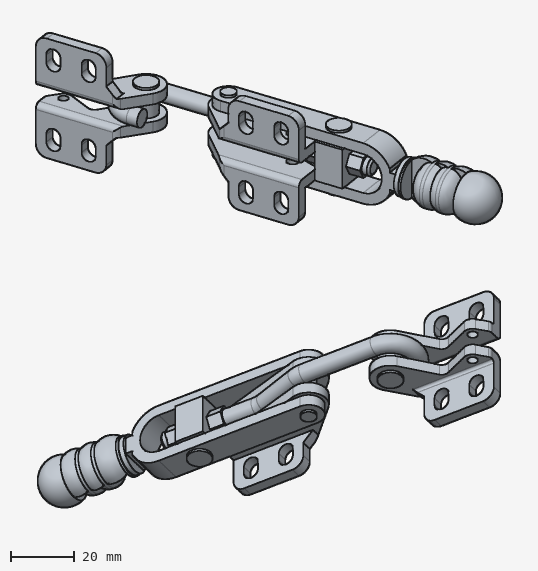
import cadquery as cq
import math


overall_x = 160.98
overall_y = 25.5
overall_z = 43.02

rod_d = 6.2
plate_t = 3.9
web_inner = rod_d / 2
web_outer = web_inner + plate_t
arm_outer = web_outer + plate_t
pin_stickout = 0.87

bend_outer_r = 2.0
flange_corner_r = 4.0
flange_notch = 3.6
foot_r = 3.0
slot_pitch = 13.0
slot_w = 5.2
slot_len = 7.9
flange_len = 26.0

catch_half_width = overall_z / 2
catch_inner_bend_r = 1.0
catch_slot_z = 14.3
catch_pivot = (32.4, 13.5)
catch_boss_r = 6.6
catch_pin_d = 8.3
catch_foot_x = 29.65
catch_back_y = 5.8
catch_back_r = 2.0
ear_center = (5.6, 7.5)
ear_r = 3.1
ear_hole_d = 3.3
catch_valley = (17.24, 5.4)
catch_valley_r = 2.5

base_half_width = 19.6
base_slot_z = 12.5
base_start_x = 71.0
base_end_x = base_start_x + flange_len
base_pivot = (61.5, 15.65)
base_boss_r = 6.4
pivot_pin_d = 5.25
base_foot_x = 68.1
base_web_end_y = 11.0
base_hole = (88.3, 10.55)
base_hole_d = 4.2

axis_y = base_pivot[1]
lever_h = 10.2
lever_bend_x = 114.1
fork_end_x = 124.0
neck_end_x = 126.4
collar_r = 6.5
collar_end_x = 128.2
lip_r = 6.8
grip_start_x = 129.1
grip_r = 8.45
groove_r = 7.8
groove_w = 1.2
groove_pitch = 5.9
first_groove_x = 137.1
groove_xs = (first_groove_x, first_groove_x + groove_pitch)
dome_start_x = 149.0
pad_half_len = 5.7
shoulder_x = 132.5
lever_plane = cq.Workplane("XZ", origin=(0, axis_y, 0))

rod_high_y = overall_y - rod_d / 2
hook_r = rod_high_y - catch_pivot[1]
hook_tail = 4.0
rod_slope = math.radians(20)
upper_elbow_x = 60.8
elbow_r = 10.0
block_len = 10.3
block_h = 12.4
block_start_x = base_end_x
trunnion_center = (block_start_x + block_len / 2, axis_y)
trunnion_d = 8.2
nut_af = 7.2
nut_len = 5.2
rod_end_x = 115.1
rod_end_chamfer = 0.8


def tangent_point(point, center, radius, side):
    """Touching point on a circle of the tangent from `point`; side +1 is counterclockwise."""
    dx = point[0] - center[0]
    dy = point[1] - center[1]
    angle = math.atan2(dy, dx) + side * math.acos(radius / math.hypot(dx, dy))
    return on_circle(center, radius, angle)


def on_circle(center, radius, angle):
    return (center[0] + radius * math.cos(angle), center[1] + radius * math.sin(angle))


def cylinder_z(center, diameter, half_len):
    return cq.Workplane("XY").center(*center).circle(diameter / 2).extrude(half_len, both=True)


def hex_nut(start_x):
    """Hexagonal nut on the lever axis, along X, with two corners pointing along Y."""
    across_corners = nut_af / math.cos(math.pi / 6)
    plane = cq.Workplane("YZ", origin=(start_x, axis_y, 0))
    return plane.polygon(6, across_corners).extrude(nut_len)


def angle_section(half_width, height, x_start, x_end):
    """Untrimmed L-shaped bent strip on the +Z side, running along X from x_start to x_end."""
    strip = (
        cq.Workplane("YZ", origin=(x_start, 0, 0))
        .moveTo(0, web_inner)
        .lineTo(height, web_inner)
        .lineTo(height, web_outer)
        .lineTo(plate_t, web_outer)
        .lineTo(plate_t, half_width)
        .lineTo(0, half_width)
        .close()
        .extrude(x_end - x_start)
    )
    middle_x = (x_start + x_end) / 2
    return strip.edges(cq.NearestToPointSelector((middle_x, 0, web_inner))).fillet(bend_outer_r)


def flange_outline(x_end, x_start, half_width, web_tip_x):
    """Trimming block along Y: a round-cornered flange from x_start to x_end and a web on to web_tip_x.

    A slanted edge joins the flange's x_end side to the web.
    """
    toward_tip = math.copysign(flange_notch, web_tip_x - x_end)
    block = (
        cq.Workplane("XZ")
        .moveTo(x_start, 0)
        .lineTo(x_start, half_width)
        .lineTo(x_end, half_width)
        .lineTo(x_end, web_outer + flange_notch)
        .lineTo(x_end + toward_tip, web_outer)
        .lineTo(web_tip_x, web_outer)
        .lineTo(web_tip_x, 0)
        .close()
        .extrude(-overall_y)
    )
    for x in (x_start, x_end):
        corner = cq.NearestToPointSelector((x, overall_y / 2, half_width))
        block = block.edges(corner).fillet(flange_corner_r)
    return block


def flange_slots(middle_x, z):
    return (
        cq.Workplane("XZ")
        .pushPoints([(middle_x - slot_pitch / 2, z), (middle_x + slot_pitch / 2, z)])
        .slot2D(slot_len, slot_w, 90)
        .extrude(-plate_t)
    )


def both_sides(half):
    return half.union(half.mirror("XY"))


def make_catch():
    foot = (catch_foot_x, 0)
    back = (0, catch_back_y)
    outline = (
        cq.Workplane("XY")
        .moveTo(0, 0)
        .lineTo(*foot)
        .lineTo(*tangent_point(foot, catch_pivot, catch_boss_r, 1))
        .threePointArc(
            on_circle(catch_pivot, catch_boss_r, math.pi / 4),
            tangent_point(catch_valley, catch_pivot, catch_boss_r, -1),
        )
        .lineTo(*catch_valley)
        .lineTo(*tangent_point(catch_valley, ear_center, ear_r, 1))
        .threePointArc(
            on_circle(ear_center, ear_r, math.pi / 2),
            tangent_point(back, ear_center, ear_r, -1),
        )
        .lineTo(*back)
        .close()
        .extrude(catch_half_width)
    )
    middle_z = catch_half_width / 2
    for corner, radius in ((foot, foot_r), (catch_valley, catch_valley_r), (back, catch_back_r)):
        outline = outline.edges(cq.NearestToPointSelector((*corner, middle_z))).fillet(radius)

    tip_x = catch_pivot[0] + catch_boss_r
    half = angle_section(catch_half_width, overall_y, 0, tip_x)
    inner_bend = cq.NearestToPointSelector((tip_x / 2, plate_t, web_outer))
    half = half.edges(inner_bend).fillet(catch_inner_bend_r)
    half = half.intersect(outline)
    half = half.intersect(flange_outline(flange_len, 0, catch_half_width, tip_x))
    half = half.cut(flange_slots(flange_len / 2, catch_slot_z))
    half = half.cut(cylinder_z(ear_center, ear_hole_d, web_outer))
    pin = cylinder_z(catch_pivot, catch_pin_d, web_outer + pin_stickout)
    return both_sides(half).union(pin)


def make_base():
    foot = (base_foot_x, 0)
    web_end = (base_end_x, base_web_end_y)
    outline = (
        cq.Workplane("XY")
        .moveTo(base_end_x, 0)
        .lineTo(*web_end)
        .lineTo(*tangent_point(web_end, base_pivot, base_boss_r, 1))
        .threePointArc(
            on_circle(base_pivot, base_boss_r, math.pi),
            tangent_point(foot, base_pivot, base_boss_r, -1),
        )
        .lineTo(*foot)
        .close()
        .extrude(base_half_width)
    )
    outline = outline.edges(cq.NearestToPointSelector((*foot, base_half_width / 2))).fillet(foot_r)

    tip_x = base_pivot[0] - base_boss_r
    half = angle_section(base_half_width, overall_y, tip_x, base_end_x)
    half = half.intersect(outline)
    half = half.intersect(flange_outline(base_start_x, base_end_x, base_half_width, tip_x))
    half = half.cut(flange_slots(base_start_x + flange_len / 2, base_slot_z))
    half = half.cut(cylinder_z(base_hole, base_hole_d, web_outer))
    pin = cylinder_z(base_pivot, pivot_pin_d, arm_outer + pin_stickout)
    return both_sides(half).union(pin)


def revolve_whole(profile):
    return profile.close().revolve(360, (0, 0, 0), (1, 0, 0))


def revolve_half(profile, side):
    """Half turn about the lever axis, filling the +Y (side 1) or -Y (side -1) half."""
    return profile.close().revolve(180, (0, 0, 0), (-side, 0, 0))


def make_fork():
    """U-shaped lever: two round-ended arms joined by a half ring, with a short neck."""
    bottom = cq.Workplane("XZ", origin=(0, axis_y - lever_h / 2, 0))

    def u_prism(half_width, x_start):
        return (
            bottom.moveTo(x_start, -half_width)
            .lineTo(lever_bend_x, -half_width)
            .threePointArc((lever_bend_x + half_width, 0), (lever_bend_x, half_width))
            .lineTo(x_start, half_width)
            .close()
            .extrude(-lever_h)
        )

    round_ends = cylinder_z(base_pivot, lever_h, arm_outer)
    fork = u_prism(arm_outer, base_pivot[0]).union(round_ends).cut(u_prism(web_outer, 0))
    end_plane = cq.Workplane("YZ", origin=(fork_end_x, axis_y, 0))
    neck_len = neck_end_x - fork_end_x
    fork = fork.cut(end_plane.rect(lever_h, 2 * arm_outer).extrude(neck_len))
    return fork.union(end_plane.rect(lever_h, rod_d).extrude(neck_len))


def make_ridged_half():
    """+Y half of the grip: crowned ridges separated by grooves."""
    profile = lever_plane.moveTo(grip_start_x, 0).lineTo(grip_start_x, lip_r)
    crest_x = shoulder_x
    for groove_x in groove_xs:
        groove_start = groove_x - groove_w / 2
        groove_end = groove_x + groove_w / 2
        profile = profile.threePointArc((crest_x, grip_r), (groove_start, groove_r))
        profile = profile.lineTo(groove_end, groove_r)
        crest_x = groove_x + groove_pitch / 2
    profile = profile.threePointArc((crest_x, grip_r), (dome_start_x, groove_r)).lineTo(dome_start_x, 0)
    return revolve_half(profile, 1)


def make_finger_pad(center_x):
    """-Y half of a lens-shaped body of revolution with a narrow cylindrical band around its middle."""
    band_start = center_x - groove_w / 2
    band_end = center_x + groove_w / 2
    half_len = pad_half_len - groove_w / 2
    profile = (
        lever_plane.moveTo(band_start - half_len, 0)
        .ellipseArc(half_len, groove_r, 90, 180, startAtCurrent=True, sense=-1)
        .lineTo(band_end, groove_r)
        .ellipseArc(half_len, groove_r, 0, 90, startAtCurrent=True, sense=-1)
    )
    return revolve_half(profile, -1)


def make_handle():
    collar = revolve_whole(
        lever_plane.moveTo(neck_end_x, 0)
        .lineTo(neck_end_x, collar_r)
        .lineTo(collar_end_x, collar_r)
        .lineTo(collar_end_x, lip_r)
        .lineTo(grip_start_x, lip_r)
        .lineTo(grip_start_x, 0)
    )
    sphere_x = overall_x - grip_r
    dome = revolve_whole(
        lever_plane.moveTo(dome_start_x, 0)
        .lineTo(dome_start_x, math.sqrt(grip_r**2 - (sphere_x - dome_start_x) ** 2))
        .threePointArc((sphere_x, grip_r), (overall_x, 0))
    )
    handle = make_fork().union(collar).union(make_ridged_half()).union(dome)
    for groove_x in groove_xs:
        handle = handle.union(make_finger_pad(groove_x))
    handle = handle.cut(cylinder_z(base_pivot, pivot_pin_d, arm_outer))
    return handle.cut(cylinder_z(trunnion_center, trunnion_d, arm_outer))


def make_rod():
    """Round rod: J-hook around the catch pin, a straight run, a slope down and a run on the lever axis."""
    hook_x, hook_y = catch_pivot
    slope_run = (rod_high_y - axis_y) / math.tan(rod_slope)
    elbow_reach = elbow_r * math.tan(rod_slope / 2)
    along_slope = (elbow_reach * math.cos(rod_slope), -elbow_reach * math.sin(rod_slope))
    upper_corner = (upper_elbow_x, rod_high_y)
    lower_corner = (upper_elbow_x + slope_run, axis_y)
    path = (
        cq.Workplane("XY")
        .moveTo(hook_x + hook_tail, hook_y - hook_r)
        .lineTo(hook_x, hook_y - hook_r)
        .threePointArc((hook_x - hook_r, hook_y), (hook_x, rod_high_y))
        .lineTo(upper_corner[0] - elbow_reach, rod_high_y)
        .radiusArc((upper_corner[0] + along_slope[0], rod_high_y + along_slope[1]), elbow_r)
        .lineTo(lower_corner[0] - along_slope[0], axis_y - along_slope[1])
        .radiusArc((lower_corner[0] + elbow_reach, axis_y), -elbow_r)
        .lineTo(rod_end_x, axis_y)
    )
    tail_end = cq.Workplane("YZ", origin=(hook_x + hook_tail, hook_y - hook_r, 0))
    rod = tail_end.circle(rod_d / 2).sweep(path)
    return rod.faces(">X").chamfer(rod_end_chamfer)


def make_hook():
    """Hook rod with its swivel block, the block's two trunnions and a nut on each side."""
    block = cq.Workplane("XY").box(block_len, block_h, 2 * web_outer).translate((*trunnion_center, 0))
    trunnions = cylinder_z(trunnion_center, trunnion_d, arm_outer + pin_stickout)
    hook = make_rod().union(block).union(trunnions)
    for nut_start_x in (block_start_x - nut_len, block_start_x + block_len):
        hook = hook.union(hex_nut(nut_start_x))
    return hook


catch = make_catch()
base = make_base()
handle = make_handle()
hook = make_hook()

result = cq.Compound.makeCompound([catch.val(), base.val(), handle.val(), hook.val()])